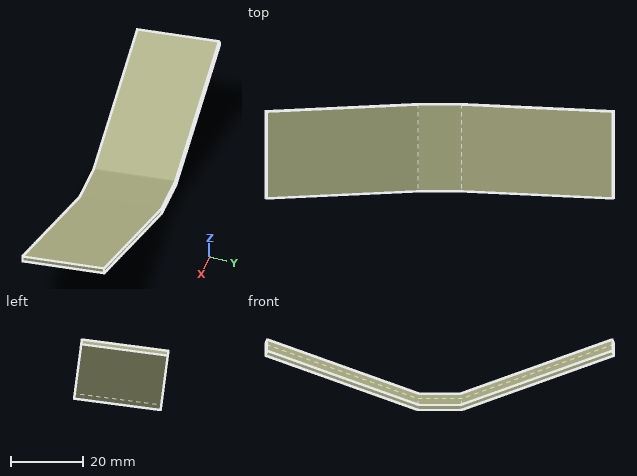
import cadquery as cq
import math

length = 96.8
width = 24.3
thickness = 1.5
flat_half_length = 6.0
arm_angle = 19.8
bend_radius = 1.9
tilt_angle = 7.5

arm = math.radians(arm_angle)
half_length = length / 2
tip_height = (half_length - flat_half_length) * math.tan(arm)
inner_bend_x = flat_half_length - thickness * math.tan(arm / 2)

upper_tip_x = half_length - thickness * math.sin(arm)
upper_tip_height = tip_height + thickness * math.cos(arm)

strip = (
    cq.Workplane("XZ")
    .moveTo(-flat_half_length, 0)
    .lineTo(flat_half_length, 0)
    .lineTo(half_length, tip_height)
    .lineTo(upper_tip_x, upper_tip_height)
    .lineTo(inner_bend_x, thickness)
    .lineTo(-inner_bend_x, thickness)
    .lineTo(-upper_tip_x, upper_tip_height)
    .lineTo(-half_length, tip_height)
    .close()
    .extrude(width / 2, both=True)
)

for side in (-1, 1):
    inner_corner = cq.selectors.NearestToPointSelector((side * inner_bend_x, 0, thickness))
    strip = strip.edges(inner_corner).fillet(bend_radius)

result = strip.rotate((0, 0, 0), (1, 0, 0), tilt_angle)